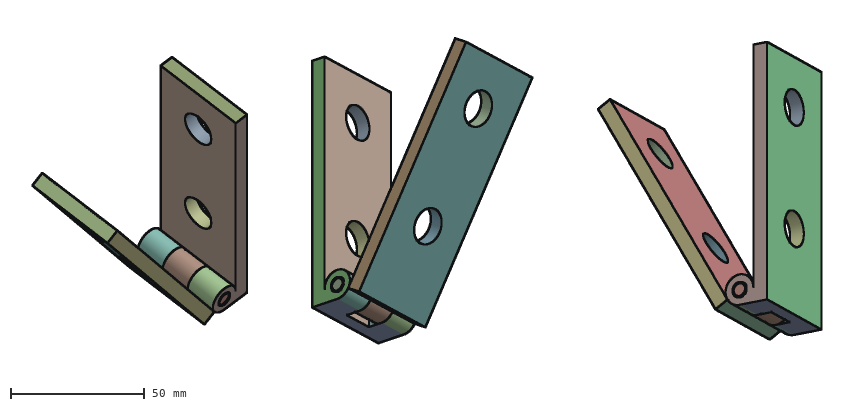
import cadquery as cq

leaf_length = 102.0
leaf_width = 40.0
leaf_thickness = 6.0
opening_angle = 30.0

knuckle_radius = leaf_thickness
pin_diameter = 6.0
pin_chamfer = 0.5
knuckle_length = leaf_width / 3

screw_hole_diameter = 14.0
screw_hole_heights = (34.0, 82.0)

leaf_inner_y = knuckle_radius
leaf_outer_y = leaf_inner_y + leaf_thickness
leaf_bottom_z = -knuckle_radius


def cylinder_along_x(diameter, length, center_x=0.0):
    """Cylinder on the hinge axis, centred at center_x."""
    start = cq.Workplane("YZ").workplane(offset=center_x - length / 2)
    return start.circle(diameter / 2).extrude(length)


def drilled_plate(inner_y, bottom_z):
    """Upright leaf plate with a column of through screw holes."""
    plate = cq.Workplane("XY").box(
        leaf_width, leaf_thickness, leaf_length, centered=(True, False, False)
    )
    for height in screw_hole_heights:
        hole = (
            cq.Workplane("XZ")
            .center(0, height)
            .circle(screw_hole_diameter / 2)
            .extrude(-leaf_thickness)
        )
        plate = plate.cut(hole)
    return plate.translate((0, inner_y, bottom_z))


def make_knuckle(center_x):
    """Round knuckle with a foot that joins it to the fixed leaf."""
    barrel = cylinder_along_x(2 * knuckle_radius, knuckle_length, center_x)
    foot = (
        cq.Workplane("XY")
        .box(knuckle_length, knuckle_radius, knuckle_radius, centered=(True, False, False))
        .translate((center_x, 0, leaf_bottom_z))
    )
    return barrel.union(foot)


def make_fixed_leaf():
    """Upright leaf carrying a knuckle at each side."""
    leaf = drilled_plate(leaf_inner_y, leaf_bottom_z)
    for side in (-1, 1):
        leaf = leaf.union(make_knuckle(side * knuckle_length))
    return leaf.cut(cylinder_along_x(pin_diameter, leaf_width))


def make_swing_leaf():
    """Flat leaf tilted about the hinge axis, its inner face tangent to the knuckles."""
    upright = drilled_plate(-leaf_outer_y, 0)
    return upright.rotate((0, 0, 0), (1, 0, 0), opening_angle)


def make_sleeve():
    """Middle sleeve between the two knuckles."""
    sleeve = cylinder_along_x(2 * knuckle_radius, knuckle_length)
    return sleeve.cut(cylinder_along_x(pin_diameter, knuckle_length))


def make_pin():
    """Pin that fills the bores of the knuckles and sleeve, chamfered at both ends."""
    return cylinder_along_x(pin_diameter, leaf_width).faces("<X or >X").chamfer(pin_chamfer)


fixed_leaf = make_fixed_leaf()
swing_leaf = make_swing_leaf()
sleeve = make_sleeve()
pin = make_pin()

result = cq.Compound.makeCompound(
    [fixed_leaf.val(), swing_leaf.val(), sleeve.val(), pin.val()]
)